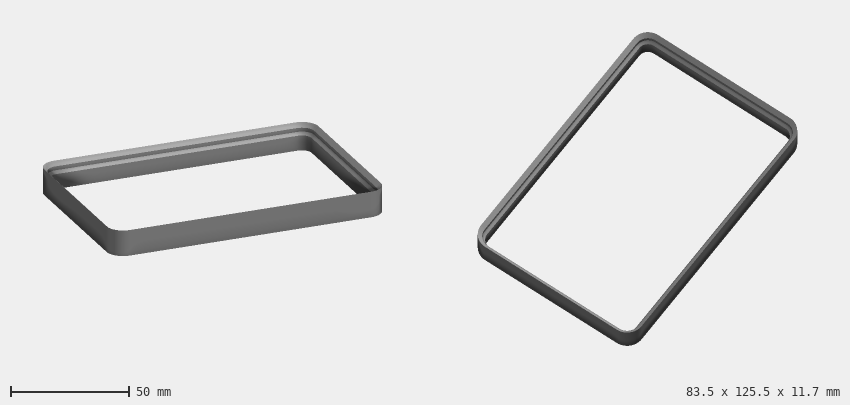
import cadquery as cq
import math

length_x = 83.5
length_y = 125.5
height = 11.7
corner_radius = 7.5

bevel_flare = 45.0
upper_bevel_width = 1.9
lower_bevel_width = 1.3
step_height = 1.8

wall_thickness = upper_bevel_width + lower_bevel_width
bevel_slope = 1 / math.tan(math.radians(bevel_flare))

upper_bevel_bottom = height - upper_bevel_width * bevel_slope
lower_bevel_top = upper_bevel_bottom - step_height
lower_bevel_bottom = lower_bevel_top - lower_bevel_width * bevel_slope


def rounded_block(inset, bottom, top, flare=0):
    """Rounded block, its base inset from the outer faces, widening upward by the flare angle."""
    outline = (
        cq.Sketch()
        .rect(length_x - 2 * inset, length_y - 2 * inset)
        .vertices()
        .fillet(corner_radius - inset)
    )
    base = cq.Workplane("XY", origin=(0, 0, bottom)).placeSketch(outline)
    return base.extrude(top - bottom, taper=-flare)


frame = rounded_block(0, 0, height)

opening = rounded_block(wall_thickness, 0, height)
step = rounded_block(upper_bevel_width, lower_bevel_top, height)

upper_bevel = rounded_block(upper_bevel_width, upper_bevel_bottom, height, bevel_flare)
lower_bevel = rounded_block(wall_thickness, lower_bevel_bottom, lower_bevel_top, bevel_flare)

result = frame.cut(opening).cut(step).cut(upper_bevel).cut(lower_bevel)